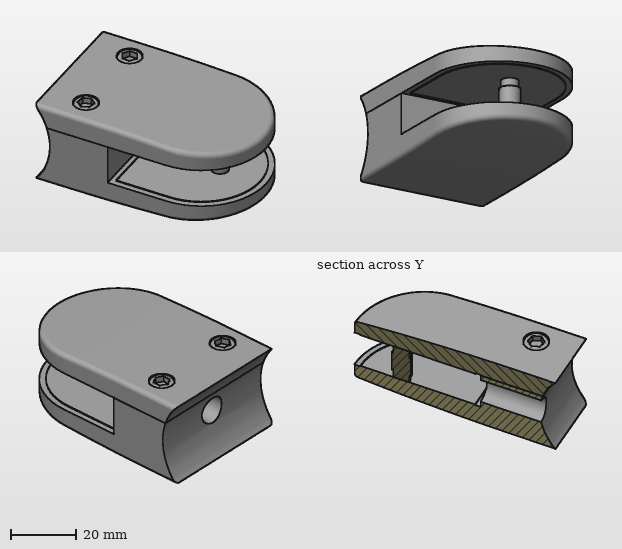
import cadquery as cq

LENGTH = 68.3
WIDTH = 45.0
HEIGHT = 28.0
END_RADIUS = WIDTH / 2
END_CENTER_X = LENGTH - END_RADIUS

FLAT_LENGTH = 13.3
CROWN_RADIUS = 669.15
EDGE_FILLET = 1.5

SEAT_DEPTH = 5.3
SEAT_RADIUS = ((HEIGHT / 2) ** 2 + SEAT_DEPTH ** 2) / (2 * SEAT_DEPTH)

SLOT_START_X = 25.4
SLOT_HEIGHT = 13.3
PAD_MARGIN = 2.05
PAD_START_GAP = 1.85
PAD_HEIGHT = 0.3
MOUNT_HOLE_DIAMETER = 9.0

SCREW_X = FLAT_LENGTH
SCREW_SPACING = 28.0
SCREW_DIAMETER = 7.65
SCREW_HOLE_DIAMETER = 8.05
SCREW_FILLET = 0.5
SOCKET_CORNERS = 5.25
SOCKET_DEPTH = 2.0
SOCKET_ANGLES = {-1: 21.0, 1: -3.0}

PIN_X = 52.3
PIN_END_DIAMETER = 5.6
PIN_SLEEVE_DIAMETER = 6.7
PIN_SLEEVE_LENGTH = 7.45

SEAM_Z = SLOT_HEIGHT / 2
TOP_Z = HEIGHT / 2


def rounded_plate(start_x, half_width, z_bottom, z_top):
    """Plate with a straight start and a half-round end centred on the jaw's end centre."""
    return (
        cq.Workplane("XY", origin=(0, 0, z_bottom))
        .moveTo(start_x, -half_width)
        .lineTo(END_CENTER_X, -half_width)
        .threePointArc((END_CENTER_X + half_width, 0), (END_CENTER_X, half_width))
        .lineTo(start_x, half_width)
        .close()
        .extrude(z_top - z_bottom)
    )


def cylinder(x, y, diameter, z_bottom, z_top):
    """Upright cylinder between two heights."""
    return (
        cq.Workplane("XY", origin=(x, y, z_bottom))
        .circle(diameter / 2)
        .extrude(z_top - z_bottom)
    )


def crown_drop(x):
    """How far the crowned faces have fallen at x."""
    return CROWN_RADIUS - (CROWN_RADIUS ** 2 - (x - FLAT_LENGTH) ** 2) ** 0.5


def side_profile():
    """Side outline with crowned top and bottom, extruded over the full width."""
    middle_x = (FLAT_LENGTH + LENGTH) / 2
    middle_z = TOP_Z - crown_drop(middle_x)
    end_z = TOP_Z - crown_drop(LENGTH)
    return (
        cq.Workplane("XZ")
        .moveTo(0, TOP_Z)
        .lineTo(FLAT_LENGTH, TOP_Z)
        .threePointArc((middle_x, middle_z), (LENGTH, end_z))
        .lineTo(LENGTH, -end_z)
        .threePointArc((middle_x, -middle_z), (FLAT_LENGTH, -TOP_Z))
        .lineTo(0, -TOP_Z)
        .close()
        .extrude(WIDTH / 2, both=True)
    )


def clamp_block():
    """Outer shape of base and lid together, with rounded edges and the tube seat."""
    block = rounded_plate(0, WIDTH / 2, -TOP_Z, TOP_Z).intersect(side_profile())
    block = block.edges("not (|Y or |Z)").fillet(EDGE_FILLET)
    seat = (
        cq.Workplane("XZ", origin=(SEAT_DEPTH - SEAT_RADIUS, 0, 0))
        .circle(SEAT_RADIUS)
        .extrude(WIDTH, both=True)
    )
    return block.cut(seat)


def full_width_box(z_bottom, z_top, start_x):
    """Box over the full width, from start_x to the rounded end."""
    return (
        cq.Workplane("XY", origin=(start_x, 0, z_bottom))
        .box(LENGTH - start_x, WIDTH, z_top - z_bottom, centered=(False, True, False))
    )


def pad(z_bottom):
    """Thin raised pad, set in from the slot wall and from the outline of the jaw."""
    start_x = SLOT_START_X + PAD_START_GAP
    return rounded_plate(start_x, END_RADIUS - PAD_MARGIN, z_bottom, z_bottom + PAD_HEIGHT)


def screw(side):
    """Round-edged screw post with a hexagonal socket, standing on the base."""
    y = side * SCREW_SPACING / 2
    socket = (
        cq.Workplane("XY", origin=(SCREW_X, y, TOP_Z - SOCKET_DEPTH))
        .transformed(rotate=(0, 0, SOCKET_ANGLES[side]))
        .polygon(6, SOCKET_CORNERS)
        .extrude(SOCKET_DEPTH)
    )
    post = cylinder(SCREW_X, y, SCREW_DIAMETER, SEAM_Z, TOP_Z)
    return post.faces(">Z").edges().fillet(SCREW_FILLET).cut(socket)


def make_base(block):
    """Lower jaw and back wall, with its pad, the mounting hole and the two screws."""
    base = block.cut(full_width_box(SEAM_Z, TOP_Z, 0))
    base = base.cut(full_width_box(-SEAM_Z, SEAM_Z, SLOT_START_X))
    base = base.union(pad(-SEAM_Z))
    mount_hole = cq.Workplane("YZ").circle(MOUNT_HOLE_DIAMETER / 2).extrude(SLOT_START_X)
    base = base.cut(mount_hole)
    for side in SOCKET_ANGLES:
        base = base.union(screw(side))
    return base


def make_lid(block):
    """Upper jaw with its pad and a clearance hole around each screw."""
    lid = block.intersect(full_width_box(SEAM_Z, TOP_Z, 0))
    lid = lid.union(pad(SEAM_Z - PAD_HEIGHT))
    for side in SOCKET_ANGLES:
        lid = lid.cut(cylinder(SCREW_X, side * SCREW_SPACING / 2, SCREW_HOLE_DIAMETER, SEAM_Z, TOP_Z))
    return lid


def make_pin():
    """Pin with a thicker middle, reaching from pad to pad."""
    pin_top = SEAM_Z - PAD_HEIGHT
    sleeve_top = PIN_SLEEVE_LENGTH / 2
    pin = cylinder(PIN_X, 0, PIN_END_DIAMETER, -pin_top, pin_top)
    return pin.union(cylinder(PIN_X, 0, PIN_SLEEVE_DIAMETER, -sleeve_top, sleeve_top))


block = clamp_block()
base = make_base(block)
lid = make_lid(block)
pin = make_pin()

result = cq.Compound.makeCompound([base.val(), lid.val(), pin.val()])